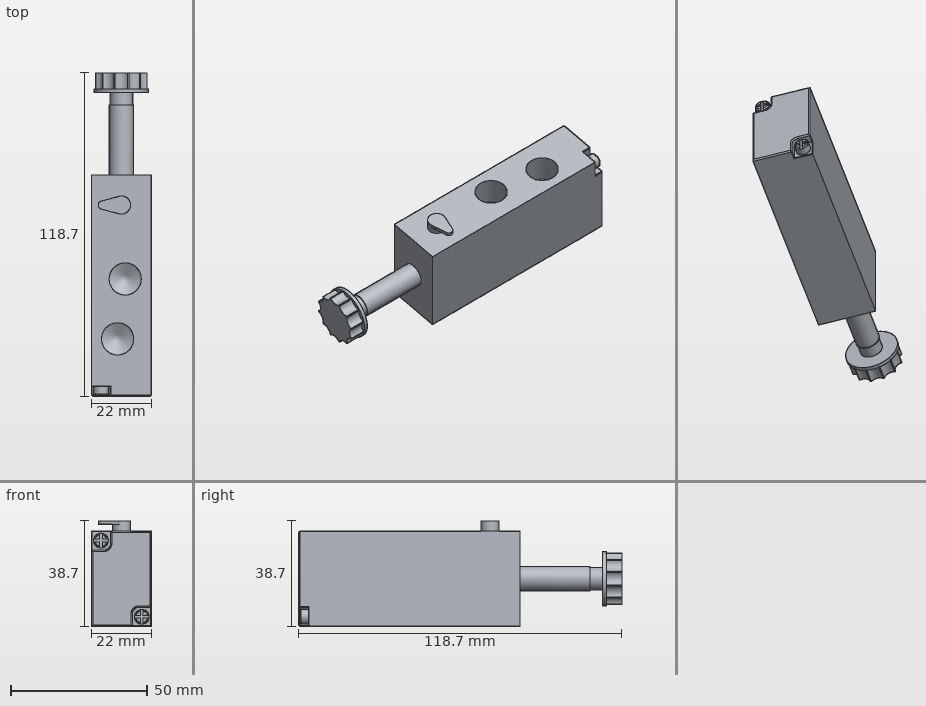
import cadquery as cq
import math

housing_width = 22.0
housing_length = 81.3
housing_height = 35.0
front_chamfer = 0.5

pocket_size = 7.0
pocket_depth = 3.6
pocket_corner_radius = 2.5
pocket_rim_chamfer = 0.25
screw_inset = pocket_size / 2
screw_head_diameter = 5.4
screw_head_recess = 0.3
screw_head_height = pocket_depth - screw_head_recess
screw_rim_chamfer = 0.5
screw_slot_width = 1.0
screw_slot_depth = 0.6

port_diameter = 11.8
port_depth = 11.0
port_cone_depth = 3.4
port_spacing = 22.0
front_port_y = 21.1
port_offset = 1.4

lever_y = 70.2
lever_height = 3.7
lever_plate_thickness = 1.3
lever_post_radius = 3.35
lever_tip_radius = 1.5
lever_reach = 7.0

tube_diameter = 9.0
tube_length = 25.6
neck_diameter = 8.4
neck_length = 4.6
axis_height = housing_height / 2

knob_length = 7.2
flange_diameter = 20.0
flange_thickness = 1.4
grip_diameter = 19.4
neck_insertion = 5.0
flute_count = 12
flute_radius = 3.0
flute_width = 4.6

match_tolerance = 0.01

tube_end_y = housing_length + tube_length
knob_y = tube_end_y + neck_length


def cylinder_along_y(diameter, start_y, length):
    """Cylinder on the operator axis, running towards +Y."""
    base = cq.Workplane("XZ", origin=(0, start_y, axis_height))
    return base.circle(diameter / 2).extrude(-length)


def corner_pocket():
    """Cutter for the upper -X front corner."""
    corner_x = -housing_width / 2
    pocket = (
        cq.Workplane("XY")
        .box(2 * pocket_size, pocket_depth, 2 * pocket_size, centered=(True, False, True))
        .edges("|Y")
        .fillet(pocket_corner_radius)
    )
    return pocket.translate((corner_x, 0, housing_height))


def screw_head():
    """Chamfered cross-slot head standing on the pocket floor."""
    head_base = cq.Workplane(
        "XZ", origin=(screw_inset - housing_width / 2, pocket_depth, housing_height - screw_inset)
    )
    head = head_base.circle(screw_head_diameter / 2).extrude(screw_head_height)
    head = head.faces("<Y").chamfer(screw_rim_chamfer)
    slot_plane = head_base.workplane(offset=screw_head_height - screw_slot_depth)
    for slot_size in [(screw_head_diameter, screw_slot_width), (screw_slot_width, screw_head_diameter)]:
        head = head.cut(slot_plane.rect(*slot_size).extrude(screw_slot_depth))
    return head


def opposite_corner(shape):
    """Turn an upper -X corner feature half a turn into the lower +X corner."""
    axis_start = (0, 0, axis_height)
    axis_end = (0, 1, axis_height)
    return shape.rotate(axis_start, axis_end, 180)


def port(x, y):
    """Cutter for one vertical blind port with a conical end."""
    radius = port_diameter / 2
    profile = (
        cq.Workplane("XZ")
        .moveTo(0, 0)
        .lineTo(radius, 0)
        .lineTo(radius, -port_depth)
        .lineTo(0, -port_depth - port_cone_depth)
        .close()
    )
    return profile.revolve(360, (0, 0, 0), (0, 1, 0)).translate((x, y, housing_height))


def lever():
    """Round post carrying a teardrop plate that points towards -X."""
    post = (
        cq.Workplane("XY", origin=(0, lever_y, housing_height))
        .circle(lever_post_radius)
        .extrude(lever_height)
    )
    tangent_sin = (lever_post_radius - lever_tip_radius) / lever_reach
    tangent_cos = math.sqrt(1 - tangent_sin ** 2)
    post_x = -lever_post_radius * tangent_sin
    post_y = lever_post_radius * tangent_cos
    tip_x = -lever_reach - lever_tip_radius * tangent_sin
    tip_y = lever_tip_radius * tangent_cos
    plate_z = housing_height + lever_height - lever_plate_thickness
    plate = (
        cq.Workplane("XY", origin=(0, lever_y, plate_z))
        .moveTo(post_x, post_y)
        .threePointArc((lever_post_radius, 0), (post_x, -post_y))
        .lineTo(tip_x, -tip_y)
        .threePointArc((-lever_reach - lever_tip_radius, 0), (tip_x, tip_y))
        .close()
        .extrude(lever_plate_thickness)
    )
    return post.union(plate)


def is_pocket_rim(edge):
    """True for pocket edges on the top, bottom and side faces, behind the front chamfer."""
    center = edge.Center()
    in_pocket_range = front_chamfer < center.y < pocket_depth + match_tolerance
    on_side = abs(center.x) > housing_width / 2 - match_tolerance
    on_top_or_bottom = abs(center.z - axis_height) > housing_height / 2 - match_tolerance
    return in_pocket_range and (on_side or on_top_or_bottom)


def make_housing():
    """Valve block with its screws, ports, lever and operator tube."""
    block = cq.Workplane("XY").box(
        housing_width, housing_length, housing_height, centered=(True, False, False)
    )
    pocket = corner_pocket()
    block = block.cut(pocket).cut(opposite_corner(pocket))
    block = block.faces("<Y").edges().chamfer(front_chamfer)
    block = block.edges().filter(is_pocket_rim).chamfer(pocket_rim_chamfer)
    for x, y in [(-port_offset, front_port_y), (port_offset, front_port_y + port_spacing)]:
        block = block.cut(port(x, y))
    head = screw_head()
    block = block.union(head).union(opposite_corner(head))
    block = block.union(lever())
    block = block.union(cylinder_along_y(tube_diameter, housing_length, tube_length))
    return block.union(cylinder_along_y(neck_diameter, tube_end_y, neck_length + neck_insertion))


def make_knob():
    """Flanged grip with concave flutes, one facing straight up, and a socket for the tube neck."""
    grip = cylinder_along_y(grip_diameter, knob_y, knob_length)
    grip_radius = grip_diameter / 2
    half_width = flute_width / 2
    flute_distance = math.sqrt(grip_radius ** 2 - half_width ** 2)
    flute_distance += math.sqrt(flute_radius ** 2 - half_width ** 2)
    flutes = (
        cq.Workplane("XZ", origin=(0, knob_y, axis_height))
        .polarArray(flute_distance, 90, 360, flute_count)
        .circle(flute_radius)
        .extrude(-knob_length)
    )
    flange = cylinder_along_y(flange_diameter, knob_y, flange_thickness)
    socket = cylinder_along_y(neck_diameter, knob_y, neck_insertion)
    return grip.cut(flutes).union(flange).cut(socket)


housing = make_housing()
knob = make_knob()

result = cq.Compound.makeCompound([housing.val(), knob.val()])